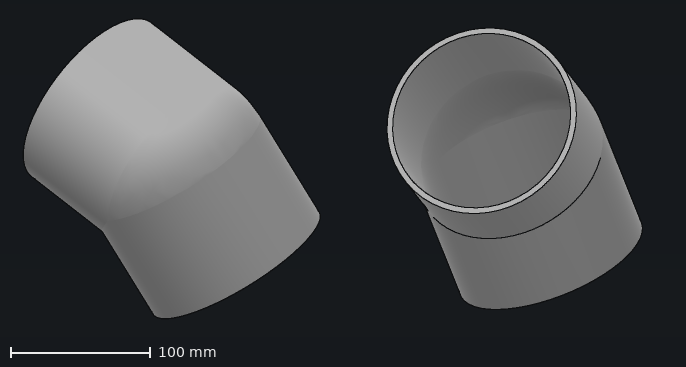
import cadquery as cq
import math

overall_length = 194.6
outer_diameter = 140.0
bore_diameter = 131.4
bend_angle = 45.0

outer_radius = outer_diameter / 2
bore_radius = bore_diameter / 2

bend = math.radians(bend_angle)
leg_length = (overall_length - outer_radius * math.sin(bend)) / (1 + math.cos(bend))

bend_center = cq.Vector(0, 0, 0)
inlet_direction = cq.Vector(-1, 0, 0)
outlet_direction = cq.Vector(math.cos(bend), 0, -math.sin(bend))


def elbow_body(radius):
    """Solid elbow: a ball at the bend center with a cylinder along each leg."""
    body = cq.Workplane("XY").sphere(radius)
    for direction in (inlet_direction, outlet_direction):
        leg = cq.Solid.makeCylinder(radius, leg_length, bend_center, direction)
        body = body.union(cq.Workplane(obj=leg))
    return body


result = elbow_body(outer_radius).cut(elbow_body(bore_radius))